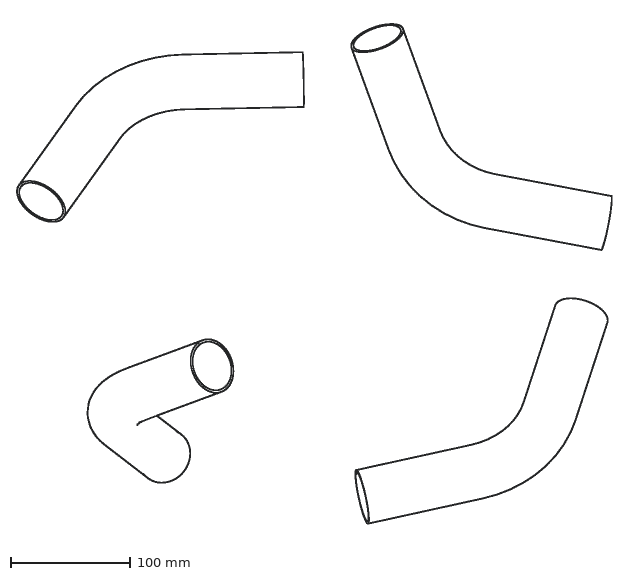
import cadquery as cq
import math

overall_length = 243.7
outer_diameter = 46.3
wall = 2.2
bend_radius = 85.3
bend_angle = 60.0

outer_radius = outer_diameter / 2
inner_radius = outer_radius - wall
bend_turn = math.radians(bend_angle)

bend_rise = bend_radius * math.sin(bend_turn)
end_rim_rise = outer_radius * math.sin(bend_turn)
leg_length = (overall_length - bend_rise - end_rim_rise) / (1 + math.cos(bend_turn))



def bend_point(angle):
    """Centreline point after turning through the given angle in degrees."""
    turn = math.radians(angle)
    return (
        bend_radius * (1 - math.cos(turn)),
        leg_length + bend_radius * math.sin(turn),
    )


bend_end = bend_point(bend_angle)
tube_end = (
    bend_end[0] + leg_length * math.sin(bend_turn),
    bend_end[1] + leg_length * math.cos(bend_turn),
)

centreline = (
    cq.Workplane("XY")
    .lineTo(0, leg_length)
    .threePointArc(bend_point(bend_angle / 2), bend_end)
    .lineTo(*tube_end)
)

section = cq.Workplane("XZ").circle(outer_radius).circle(inner_radius)
result = section.sweep(centreline)